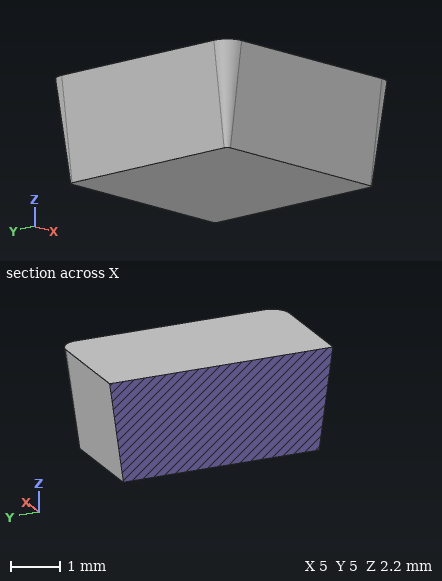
import cadquery as cq

top_width = 5.0
height = 2.2
top_corner_radius = 0.4
draft_angle = 8.0

top_outline = (
    cq.Sketch()
    .rect(top_width, top_width)
    .vertices()
    .fillet(top_corner_radius)
)

result = (
    cq.Workplane("XY")
    .workplane(offset=height)
    .placeSketch(top_outline)
    .extrude(-height, taper=draft_angle)
)